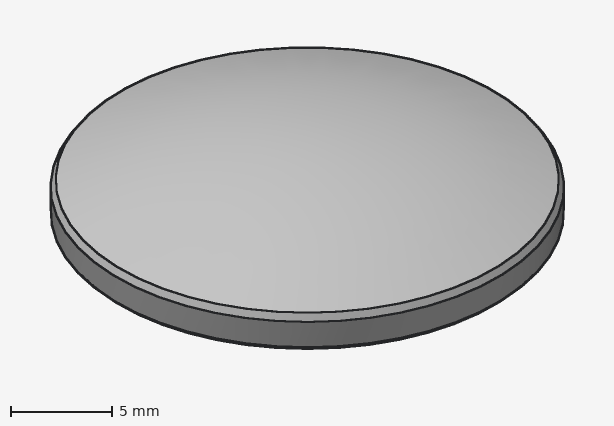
import cadquery as cq

diameter = 25.4
total_height = 4.42
chamfer_width = 0.25
top_chamfer_height = 0.38
bottom_chamfer_height = 0.25
dome_base_height = 2.1

radius = diameter / 2
face_radius = radius - chamfer_width

dome_rise = total_height - dome_base_height
sphere_radius = (face_radius**2 + dome_rise**2) / (2 * dome_rise)
mid_radius = face_radius / 2
mid_height = total_height - sphere_radius + (sphere_radius**2 - mid_radius**2) ** 0.5

half_section = (
    cq.Workplane("XZ")
    .lineTo(face_radius, 0)
    .lineTo(radius, bottom_chamfer_height)
    .lineTo(radius, dome_base_height - top_chamfer_height)
    .lineTo(face_radius, dome_base_height)
    .threePointArc((mid_radius, mid_height), (0, total_height))
    .close()
)

result = half_section.revolve(360, (0, 0, 0), (0, 1, 0))